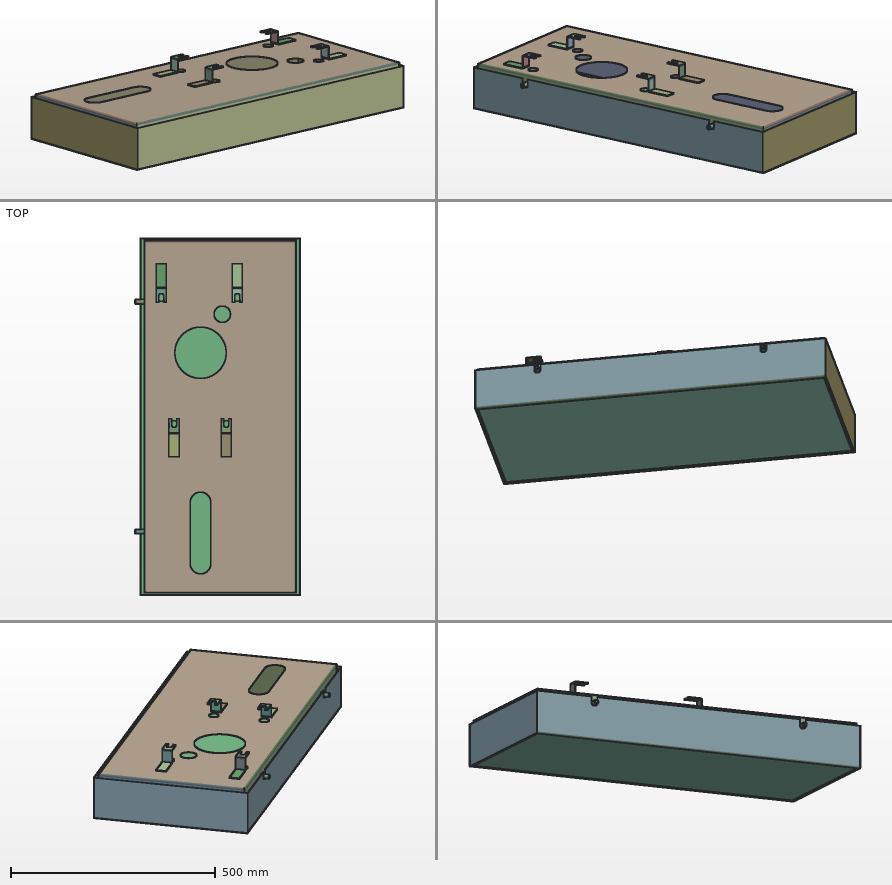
import cadquery as cq

TRAY_X = 391.0
TRAY_Y = 873.0
TRAY_Z = 106.5
SHEET = 1.3
BEND = 3.05
INNER_BEND = BEND - SHEET

GAP_X = 10.0
GAP_Y = 5.0
CHASSIS_X = TRAY_X - 2 * GAP_X
CHASSIS_Y = TRAY_Y - 2 * GAP_Y
CHASSIS_TOP = 115.0

OPENING_X = -48.0
LARGE_HOLE_D = 126.0
LARGE_HOLE_Y = 156.0
SMALL_HOLE_D = 40.0
SMALL_HOLE_X = 5.0
SMALL_HOLE_Y = 250.5
LONG_SLOT_LENGTH = 200.0
LONG_SLOT_WIDTH = 51.0
LONG_SLOT_Y = -285.0
ACCESS_HOLE_D = 24.5
UPPER_ACCESS_Y = 294.0
LOWER_ACCESS_Y = -22.0

TOTAL_Z = 151.0
STRIP = 3.0
STRIP_BEND = 4.0
BRACKET_WIDTH = 25.0
BRACKET_LENGTH = 93.0
BRACKET_HEIGHT = TOTAL_Z - CHASSIS_TOP
ARM_LENGTH = 37.0
FORK_WIDTH = 12.0
FORK_DEPTH = 21.0
UPPER_END_Y = 280.0
LOWER_END_Y = -5.0
UPPER_BRACKET_XS = (-144.0, 42.0)
LOWER_BRACKET_XS = (-113.0, 15.0)

PIN_D = 11.0
PIN_REACH = 13.0
PIN_TIP = 2.2
PIN_Z = 92.0
PIN_YS = (281.0, -281.0)
NOTCH_WIDTH = 16.0


def box(length, width, height, bottom):
    """Upright box centred on the Z axis with its underside at the given height."""
    return cq.Workplane("XY").workplane(offset=bottom).rect(length, width).extrude(height)


def make_tray():
    tray = box(TRAY_X, TRAY_Y, TRAY_Z, 0).edges("|Y and <Z").fillet(BEND)
    cavity = box(TRAY_X - 2 * SHEET, TRAY_Y - 2 * SHEET, TRAY_Z, SHEET)
    cavity = cavity.edges("|Y and <Z").fillet(INNER_BEND)
    tray = tray.cut(cavity)
    for y in PIN_YS:
        tray = tray.cut(make_notch(y))
    return tray


def make_notch(y):
    """U-shaped notch, open at the rim, through the -X wall."""
    radius = NOTCH_WIDTH / 2
    return (
        cq.Workplane("YZ", origin=(-TRAY_X / 2, y, PIN_Z))
        .moveTo(-radius, TRAY_Z)
        .lineTo(-radius, 0)
        .threePointArc((0, -radius), (radius, 0))
        .lineTo(radius, TRAY_Z)
        .close()
        .extrude(SHEET)
    )


def make_chassis():
    height = CHASSIS_TOP - SHEET
    chassis = box(CHASSIS_X, CHASSIS_Y, height, SHEET).faces(">Z").edges().fillet(BEND)
    cavity = box(CHASSIS_X - 2 * SHEET, CHASSIS_Y - 2 * SHEET, height - SHEET, SHEET)
    cavity = cavity.faces(">Z").edges().fillet(INNER_BEND)
    chassis = chassis.cut(cavity)

    chassis = chassis.cut(make_round_cutter(LARGE_HOLE_D, OPENING_X, LARGE_HOLE_Y))
    chassis = chassis.cut(make_round_cutter(SMALL_HOLE_D, SMALL_HOLE_X, SMALL_HOLE_Y))
    for x in UPPER_BRACKET_XS:
        chassis = chassis.cut(make_round_cutter(ACCESS_HOLE_D, x, UPPER_ACCESS_Y))
    for x in LOWER_BRACKET_XS:
        chassis = chassis.cut(make_round_cutter(ACCESS_HOLE_D, x, LOWER_ACCESS_Y))
    long_slot = (
        cq.Workplane("XY", origin=(OPENING_X, LONG_SLOT_Y, CHASSIS_TOP))
        .slot2D(LONG_SLOT_LENGTH, LONG_SLOT_WIDTH, 90)
        .extrude(-SHEET)
    )
    return chassis.cut(long_slot)


def make_round_cutter(diameter, x, y):
    """Disc that cuts a round hole through the chassis top."""
    return cq.Workplane("XY", origin=(x, y, CHASSIS_TOP)).circle(diameter / 2).extrude(-SHEET)


def make_bracket(x, end_y, turn):
    """Bracket on the chassis; unturned, its foot lies on the +Y side of its free end."""
    upright_front = ARM_LENGTH - STRIP
    arm_underside = BRACKET_HEIGHT - STRIP
    bracket = (
        cq.Workplane("YZ")
        .moveTo(0, BRACKET_HEIGHT)
        .lineTo(ARM_LENGTH - STRIP_BEND, BRACKET_HEIGHT)
        .radiusArc((ARM_LENGTH, BRACKET_HEIGHT - STRIP_BEND), STRIP_BEND)
        .lineTo(ARM_LENGTH, STRIP)
        .lineTo(BRACKET_LENGTH, STRIP)
        .lineTo(BRACKET_LENGTH, 0)
        .lineTo(upright_front + STRIP_BEND, 0)
        .radiusArc((upright_front, STRIP_BEND), STRIP_BEND)
        .lineTo(upright_front, arm_underside)
        .lineTo(0, arm_underside)
        .close()
        .extrude(BRACKET_WIDTH / 2, both=True)
    )
    fork = (
        cq.Workplane("XY", origin=(0, 0, BRACKET_HEIGHT))
        .slot2D(2 * FORK_DEPTH, FORK_WIDTH, 90)
        .extrude(-STRIP)
    )
    bracket = bracket.cut(fork).rotate((0, 0, 0), (0, 0, 1), turn)
    return bracket.translate((x, end_y, CHASSIS_TOP))


def make_pin(y):
    """Pin seated against the -X wall of the chassis, chamfered at its free end."""
    return (
        cq.Workplane("YZ", origin=(-CHASSIS_X / 2, y, PIN_Z))
        .circle(PIN_D / 2)
        .extrude(-(GAP_X + PIN_REACH))
        .faces("<X")
        .chamfer(PIN_TIP)
    )


tray = make_tray()
chassis = make_chassis()
upper_brackets = [make_bracket(x, UPPER_END_Y, 0).val() for x in UPPER_BRACKET_XS]
lower_brackets = [make_bracket(x, LOWER_END_Y, 180).val() for x in LOWER_BRACKET_XS]
pins = [make_pin(y).val() for y in PIN_YS]

result = cq.Compound.makeCompound(
    [tray.val(), chassis.val(), *upper_brackets, *lower_brackets, *pins]
)